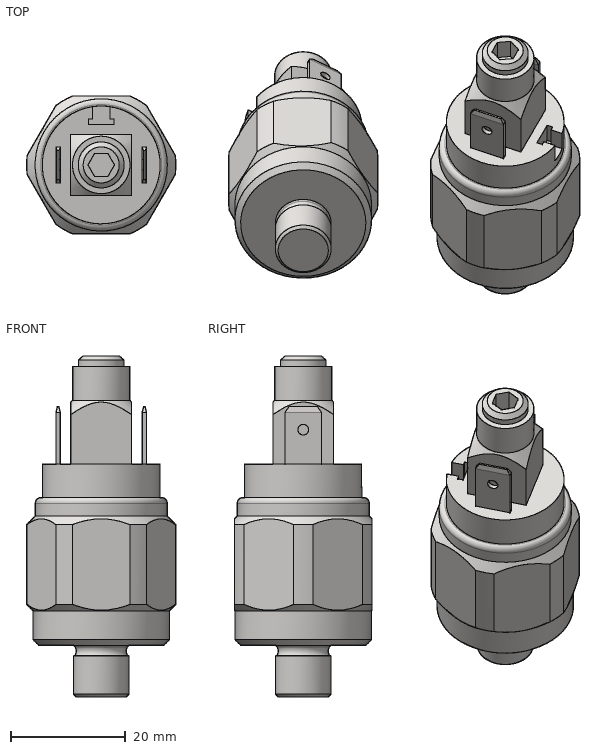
import cadquery as cq
import math

overall_height = 59.36
thread_top = 7.15
base_bottom = 9.0
base_top = 15.0
housing_top = 34.7
insulator_top = 40.5
blade_top = 50.5
post_shoulder = 51.6
post_top = 57.5

base_diameter = 23.78
base_chamfer = 1.0
thread_diameter = 9.73
thread_chamfer = 0.5
thread_runout = 0.1
neck_edge_diameter = 9.2
neck_diameter = 8.75
neck_flare = 0.25

hex_across_flats = 24.0
hex_corner_diameter = 26.0
collar_diameter = 23.0
collar_rounding = 1.0
hex_corner_top = 30.0
hex_top = hex_corner_top + (hex_corner_diameter - collar_diameter) / 2
hex_corner_bottom = base_top + (hex_corner_diameter - base_diameter) / 2

insulator_diameter = 20.5
insulator_bottom = hex_top
key_slot_depth = 4.0
key_stem_width = 3.0
key_bar_width = 4.4
key_bar_inner = 7.0
key_bar_outer = 8.0

blade_thickness = 0.8
blade_width = 6.3
blade_offset = 7.5
blade_seat_depth = 3.0
blade_tip_height = 1.0
blade_tip_thickness = 0.3
blade_tip_width = 5.0
blade_hole_diameter = 1.85
blade_hole_height = 46.5

post_square = 10.6
post_sleeve_diameter = 10.0

screw_diameter = 8.0
screw_tip_diameter = 6.27
screw_chamfer_bottom = 58.6
screw_bottom = post_shoulder
socket_across_flats = 4.0
socket_depth = 4.0


def box_between(x_size, y_size, z_low, z_high):
    """Box centred on the Z axis between two levels."""
    return (
        cq.Workplane("XY")
        .workplane(offset=z_low)
        .rect(x_size, y_size)
        .extrude(z_high - z_low)
    )


def cylinder_between(diameter, z_low, z_high):
    """Cylinder on the Z axis between two levels."""
    return cq.Workplane("XY").workplane(offset=z_low).circle(diameter / 2).extrude(z_high - z_low)


def hexagon_between(across_flats, z_low, z_high):
    """Hexagonal prism with two corners on the X axis."""
    corner_diameter = across_flats / math.cos(math.pi / 6)
    return cq.Workplane("XY").workplane(offset=z_low).polygon(6, corner_diameter).extrude(z_high - z_low)


def revolve_profile(profile):
    """Turn a closed radius-height profile about the Z axis."""
    return profile.close().revolve(360, (0, 0, 0), (0, 1, 0))


def make_base():
    thread_radius = thread_diameter / 2
    neck_edge_radius = neck_edge_diameter / 2
    neck_bottom = thread_top + thread_runout
    neck_top = base_bottom - neck_flare
    neck_middle = (neck_bottom + neck_top) / 2
    base_radius = base_diameter / 2
    profile = (
        cq.Workplane("XZ")
        .moveTo(0, 0)
        .lineTo(thread_radius - thread_chamfer, 0)
        .lineTo(thread_radius, thread_chamfer)
        .lineTo(thread_radius, thread_top)
        .lineTo(neck_edge_radius, neck_bottom)
        .threePointArc((neck_diameter / 2, neck_middle), (neck_edge_radius, neck_top))
        .lineTo(neck_edge_radius + neck_flare, base_bottom)
        .lineTo(base_radius - base_chamfer, base_bottom)
        .lineTo(base_radius, base_bottom + base_chamfer)
        .lineTo(base_radius, base_top)
        .lineTo(0, base_top)
    )
    return revolve_profile(profile)


def make_housing():
    corner_radius = hex_corner_diameter / 2
    collar_radius = collar_diameter / 2
    turned_profile = (
        cq.Workplane("XZ")
        .moveTo(0, base_top)
        .lineTo(base_diameter / 2, base_top)
        .lineTo(corner_radius, hex_corner_bottom)
        .lineTo(corner_radius, hex_corner_top)
        .lineTo(collar_radius, hex_top)
        .lineTo(collar_radius, housing_top - collar_rounding)
        .radiusArc((collar_radius - collar_rounding, housing_top), -collar_rounding)
        .lineTo(0, housing_top)
    )
    hexagon = hexagon_between(hex_across_flats, base_top, housing_top)
    insulator_seat = cylinder_between(insulator_diameter, insulator_bottom, housing_top)
    return revolve_profile(turned_profile).intersect(hexagon).cut(insulator_seat)


def make_blade(x_centre):
    """Flat terminal with a tapered tip and a cross hole."""
    shoulder = blade_top - blade_tip_height
    body = box_between(blade_thickness, blade_width, insulator_top - blade_seat_depth, shoulder)
    tip = (
        cq.Workplane("XY")
        .workplane(offset=shoulder)
        .rect(blade_thickness, blade_width)
        .workplane(offset=blade_tip_height)
        .rect(blade_tip_thickness, blade_tip_width)
        .loft(ruled=True)
    )
    hole = (
        cq.Workplane("YZ")
        .center(0, blade_hole_height)
        .circle(blade_hole_diameter / 2)
        .extrude(blade_thickness, both=True)
    )
    return body.union(tip).cut(hole).translate((x_centre, 0, 0))


def make_key_slot():
    """T-shaped slot that opens through the +Y side of the insulator."""
    slot_floor = insulator_top - key_slot_depth
    bar_depth = key_bar_outer - key_bar_inner
    bar = box_between(key_bar_width, bar_depth, slot_floor, insulator_top)
    bar = bar.translate((0, (key_bar_inner + key_bar_outer) / 2, 0))
    stem_length = insulator_diameter / 2 - key_bar_inner
    stem = box_between(key_stem_width, stem_length, slot_floor, insulator_top)
    stem = stem.translate((0, key_bar_inner + stem_length / 2, 0))
    return bar.union(stem)


def make_insulator():
    insulator = cylinder_between(insulator_diameter, insulator_bottom, insulator_top)
    insulator = insulator.cut(make_key_slot())
    slot_floor = insulator_top - blade_seat_depth
    for x_centre in blade_positions:
        slot = box_between(blade_thickness, blade_width, slot_floor, insulator_top)
        insulator = insulator.cut(slot.translate((x_centre, 0, 0)))
    return insulator


def make_post():
    corner_radius = post_square / math.sqrt(2)
    sleeve_radius = post_sleeve_diameter / 2
    corner_height = post_shoulder - (corner_radius - sleeve_radius)
    turned_profile = (
        cq.Workplane("XZ")
        .moveTo(0, insulator_top)
        .lineTo(corner_radius, insulator_top)
        .lineTo(corner_radius, corner_height)
        .lineTo(sleeve_radius, post_shoulder)
        .lineTo(sleeve_radius, post_top)
        .lineTo(0, post_top)
    )
    square = box_between(post_square, post_square, insulator_top, post_top)
    bore = cylinder_between(screw_diameter, screw_bottom, post_top)
    return revolve_profile(turned_profile).intersect(square).cut(bore)


def make_screw():
    profile = (
        cq.Workplane("XZ")
        .moveTo(0, screw_bottom)
        .lineTo(screw_diameter / 2, screw_bottom)
        .lineTo(screw_diameter / 2, screw_chamfer_bottom)
        .lineTo(screw_tip_diameter / 2, overall_height)
        .lineTo(0, overall_height)
    )
    socket = hexagon_between(socket_across_flats, overall_height - socket_depth, overall_height)
    return revolve_profile(profile).cut(socket)


blade_positions = (-blade_offset, blade_offset)
base = make_base()
housing = make_housing()
blades = [make_blade(x_centre) for x_centre in blade_positions]
insulator = make_insulator()
post = make_post()
screw = make_screw()

result = cq.Compound.makeCompound(
    [base.val(), housing.val(), insulator.val(), post.val(), screw.val()]
    + [blade.val() for blade in blades]
)